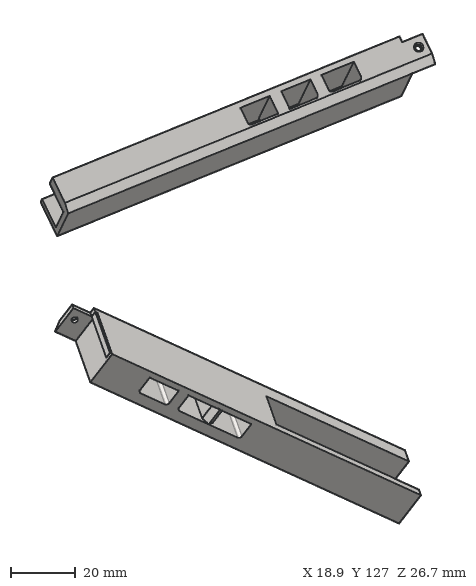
import cadquery as cq
import math

WIDTH = 12.0
HEIGHT = 24.0
TILT = 20.0
CHAMFER_WIDTH = 3.06
CHAMFER_ANGLE = 30.0
CHAMFER_DROP = CHAMFER_WIDTH * math.tan(math.radians(CHAMFER_ANGLE))

TOTAL_LENGTH = 126.96
TAB_LENGTH = 7.0
END_GAP = 0.9
SHOULDER_Y = TOTAL_LENGTH - TAB_LENGTH
BODY_LENGTH = SHOULDER_Y - END_GAP

TAB_THICKNESS = 2.0
TAB_INSET = 2.0
LIP_THICKNESS = 0.05
SCREW_HOLE_DIAMETER = 2.0
SCREW_HEAD_DIAMETER = 3.0
SCREW_HEAD_ANGLE = 90.0
SCREW_ACROSS = 5.5
SCREW_Y = TOTAL_LENGTH - 3.0

POCKET_LENGTH = 55.0
POCKET_DEPTH = 10.0
POCKET_BOTTOM = 3.0
POCKET_TOP = 18.0

WINDOW_START = 2.0
WINDOW_WIDTH = 6.2
WINDOW_CORNER_RADIUS = 1.0
SINGLE_WINDOW_Y = (92.0, 103.2)
DOUBLE_WINDOW_Y = (64.0, 88.2)
DIVIDER_Y = (74.1, 78.1)


def box(across, along, up):
    """Box spanning the given (start, end) ranges in X, Y and Z."""
    sizes = [end - start for start, end in (across, along, up)]
    corner = (across[0], along[0], up[0])
    return cq.Workplane("XY").box(*sizes, centered=False).translate(corner)


def make_bar():
    """Upright bar with its far top edge chamfered, running from Y = 0."""
    outline = [
        (0, 0),
        (WIDTH, 0),
        (WIDTH, HEIGHT - CHAMFER_DROP),
        (WIDTH - CHAMFER_WIDTH, HEIGHT),
        (0, HEIGHT),
    ]
    return cq.Workplane("XZ").polyline(outline).close().extrude(-TOTAL_LENGTH)


def make_body():
    """Bar cut down to the main body, the top tab and the thin lip."""
    below_tab = HEIGHT - TAB_THICKNESS
    under_tab = box((0, WIDTH), (BODY_LENGTH, TOTAL_LENGTH), (0, below_tab))
    beside_tab = box((0, TAB_INSET), (SHOULDER_Y, TOTAL_LENGTH), (0, HEIGHT))
    lip = box((0, TAB_INSET), (SHOULDER_Y - LIP_THICKNESS, SHOULDER_Y), (0, HEIGHT))
    return make_bar().cut(under_tab).cut(beside_tab).union(lip)


def make_screw_hole():
    """Through hole in the tab with a conical seat at the top."""
    head_radius = SCREW_HEAD_DIAMETER / 2
    hole_radius = SCREW_HOLE_DIAMETER / 2
    seat_depth = (head_radius - hole_radius) / math.tan(math.radians(SCREW_HEAD_ANGLE / 2))
    profile = [
        (0, HEIGHT),
        (head_radius, HEIGHT),
        (hole_radius, HEIGHT - seat_depth),
        (hole_radius, HEIGHT - TAB_THICKNESS),
        (0, HEIGHT - TAB_THICKNESS),
    ]
    hole = cq.Workplane("XZ").polyline(profile).close().revolve(360, (0, 0), (0, 1))
    return hole.translate((SCREW_ACROSS, SCREW_Y, 0))


def make_side_pocket():
    """Pocket open at the side face and at the near end."""
    return box((0, POCKET_DEPTH), (0, POCKET_LENGTH), (POCKET_BOTTOM, POCKET_TOP))


def make_window(along):
    """Full-height window, rounded in its two deep corners."""
    window = box((WINDOW_START, WINDOW_START + WINDOW_WIDTH), along, (0, HEIGHT))
    return window.edges("|Z and >X").fillet(WINDOW_CORNER_RADIUS)


def make_divider():
    """Web splitting the double window, tapered at 45 degrees to a bottom edge."""
    near, far = DIVIDER_Y
    half_width = (far - near) / 2
    outline = [
        (near, HEIGHT),
        (near, half_width),
        (near + half_width, 0),
        (far, half_width),
        (far, HEIGHT),
    ]
    web = cq.Workplane("YZ").polyline(outline).close().extrude(WINDOW_WIDTH)
    return web.translate((WINDOW_START, 0, 0))


windows = make_window(SINGLE_WINDOW_Y).union(make_window(DOUBLE_WINDOW_Y).cut(make_divider()))
upright = make_body().cut(make_screw_hole()).cut(make_side_pocket()).cut(windows)
result = upright.rotate((0, 0, 0), (0, 1, 0), TILT)